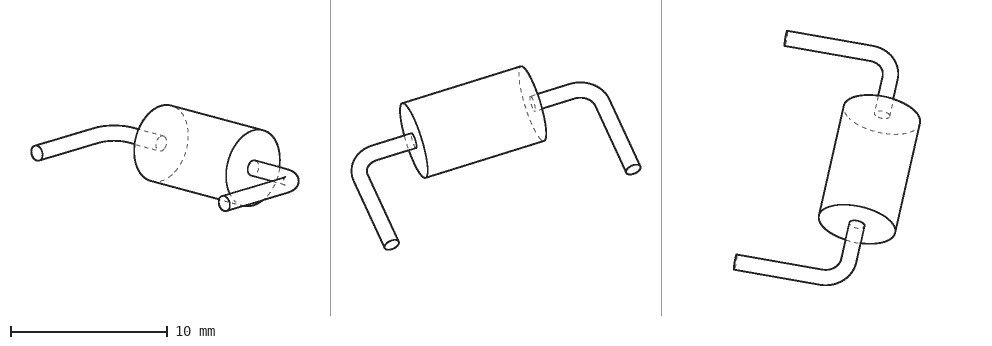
import cadquery as cq

overall_length = 17.51
overall_width = 9.6
wire_diameter = 1.0
bend_radius = 1.5

body_diameter = 5.0
body_length = 8.1
band_start = 2.63
end_disc_thickness = 0.1

leg_reach = overall_width - body_diameter / 2
half_pitch = (overall_length - wire_diameter) / 2
half_body = body_length / 2
disc_start = half_body - end_disc_thickness


def cylinder_along_x(start, end, diameter):
    """Solid cylinder on the X axis between two X positions."""
    return cq.Workplane("YZ", origin=(start, 0, 0)).circle(diameter / 2).extrude(end - start)


def bent_lead():
    """Single round wire through the body, with both ends bent towards -Y."""
    bend_start = half_pitch - bend_radius
    path = (
        cq.Workplane("XY")
        .moveTo(-half_pitch, -leg_reach)
        .lineTo(-half_pitch, -bend_radius)
        .tangentArcPoint((-bend_start, 0), relative=False)
        .lineTo(bend_start, 0)
        .tangentArcPoint((half_pitch, -bend_radius), relative=False)
        .lineTo(half_pitch, -leg_reach)
    )
    profile = cq.Workplane("XZ", origin=(-half_pitch, -leg_reach, 0)).circle(wire_diameter / 2)
    return profile.sweep(path)


def segmented_body():
    """Main body, polarity band and thin end disc, kept as separate lengths of one cylinder."""
    body = cylinder_along_x(-half_body, band_start, body_diameter)
    body = body.union(cylinder_along_x(band_start, disc_start, body_diameter), clean=False)
    return body.union(cylinder_along_x(disc_start, half_body, body_diameter), clean=False)


result = segmented_body().union(bent_lead(), clean=False)